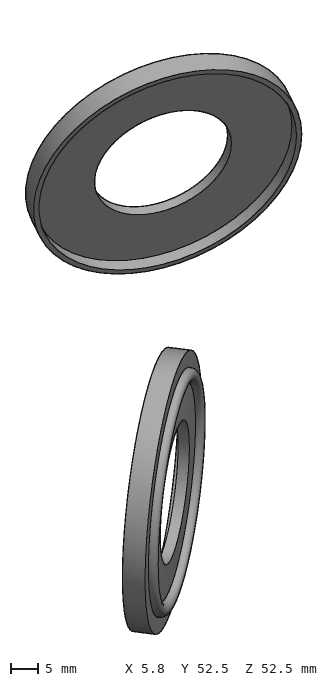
import cadquery as cq

outer_diameter = 52.5
bore_diameter = 26.8
total_thickness = 5.8
rim_thickness = 4.25
bore_length = 2.1
bead_outer_diameter = 46.2
bead_inner_diameter = 40.85
cone_rise = 0.25
lip_width = 1.05

outer_radius = outer_diameter / 2
bore_radius = bore_diameter / 2
bead_outer_radius = bead_outer_diameter / 2
bead_inner_radius = bead_inner_diameter / 2
bead_middle_radius = (bead_outer_radius + bead_inner_radius) / 2
bead_round_radius = (bead_outer_radius - bead_inner_radius) / 2
recess_radius = outer_radius - lip_width
face_x = total_thickness - rim_thickness
bore_front_x = face_x - cone_rise
recess_floor_x = bore_front_x + bore_length


def revolve_about_axis(profile):
    """Revolve a closed XY half-section about the ring axis."""
    return profile.revolve(360, (0, 0, 0), (1, 0, 0))


def ring_body():
    """Ring with a shallow conical inner face and a flat-floored recess behind it."""
    half_section = (
        cq.Workplane("XY")
        .moveTo(bore_front_x, bore_radius)
        .lineTo(face_x, bead_inner_radius)
        .lineTo(face_x, outer_radius)
        .lineTo(total_thickness, outer_radius)
        .lineTo(total_thickness, recess_radius)
        .lineTo(recess_floor_x, recess_radius)
        .lineTo(recess_floor_x, bore_radius)
        .close()
    )
    return revolve_about_axis(half_section)


def sealing_bead():
    """Full-round bead whose straight sides run into the ring down to the recess floor."""
    half_section = (
        cq.Workplane("XY")
        .moveTo(recess_floor_x, bead_inner_radius)
        .lineTo(bead_round_radius, bead_inner_radius)
        .threePointArc((0, bead_middle_radius), (bead_round_radius, bead_outer_radius))
        .lineTo(recess_floor_x, bead_outer_radius)
        .close()
    )
    return revolve_about_axis(half_section)


result = ring_body().union(sealing_bead())